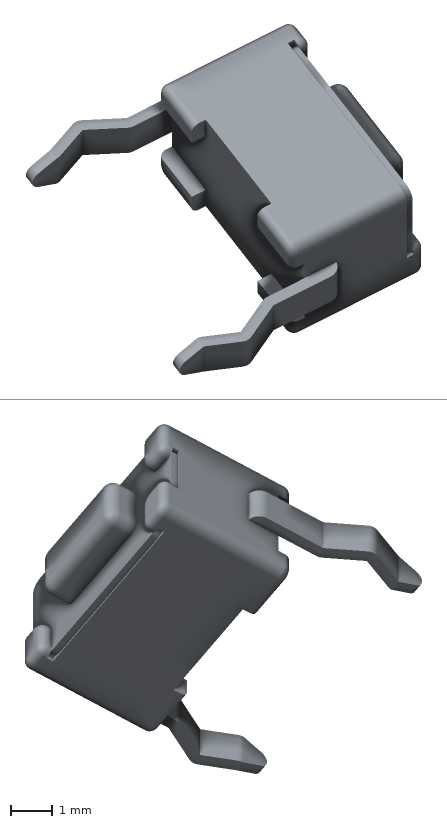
import cadquery as cq
import math


BODY_WIDTH = 6.11
BODY_HEIGHT = 3.5
POST_TOP = 3.41
FOOT_LENGTH = 0.4
SIDE_RADIUS = 0.3
END_RADIUS = 0.21

FOOT_GAP_X = 3.0
FOOT_GAP_Z = 2.19

PLATE_BOTTOM = 2.92
PLATE_TOP = 3.105
PLATE_INSET = 0.055
WALL_SPAN_X = 0.64
WALL_SPAN_Z = 1.0
PLATE_LONG_SIDE_RADIUS = 0.34
PLATE_SHORT_SIDE_RADIUS = 0.12

LEFT_POST_SPAN_X = 0.915
POST_SPAN_Z = 1.205
RIGHT_POST_SPAN_X = 0.85
POST_CORNER_RADIUS = 0.375
POST_EDGE_RADIUS = 0.22

BUTTON_WIDTH = 3.0
BUTTON_HEIGHT = 1.55
BUTTON_TOP = 3.9
BUTTON_RADIUS = 0.3
BUTTON_TOP_RADIUS = 0.29

LEAD_THICKNESS = 0.3
LEAD_WIDTH = 1.02
LEAD_REACH = 3.91
LEAD_SHOULDER_TOP = 0.89
LEAD_SHOULDER_RADIUS = 0.35
LEAD_BEND_Y = -1.1
LEAD_KNEE_Y = -2.205
LEAD_TIP_START = -3.2
LEAD_TIP_END = -3.895
LEAD_TIP_X = 3.51
LEAD_TIP_RADIUS = 0.3

HALF_WIDTH = BODY_WIDTH / 2
HALF_HEIGHT = BODY_HEIGHT / 2
BODY_X = (-HALF_WIDTH, HALF_WIDTH)
BODY_Z = (-HALF_HEIGHT, HALF_HEIGHT)
PLATE_Y = (PLATE_BOTTOM, PLATE_TOP)


def block(x_range, y_range, z_range):
    """Box between two limits along each axis."""
    sizes = [high - low for low, high in (x_range, y_range, z_range)]
    corner = (x_range[0], y_range[0], z_range[0])
    return cq.Workplane("XY").box(*sizes, centered=False).translate(corner)


def round_y_edge(shape, x, z, y_range, radius):
    """Round the edge that runs along Y through (x, z)."""
    middle = (x, sum(y_range) / 2, z)
    return shape.edges(cq.selectors.NearestToPointSelector(middle)).fillet(radius)


def body():
    shape = block(BODY_X, (-FOOT_LENGTH, PLATE_TOP), BODY_Z)
    shape = shape.edges("|Y").fillet(SIDE_RADIUS)
    shape = shape.faces("<Y").edges().fillet(END_RADIUS)

    front = (-FOOT_LENGTH, 0)
    shape = shape.cut(block((-FOOT_GAP_X / 2, FOOT_GAP_X / 2), front, BODY_Z))
    shape = shape.cut(block(BODY_X, front, (-FOOT_GAP_Z / 2, FOOT_GAP_Z / 2)))

    return shape.cut(block(BODY_X, PLATE_Y, BODY_Z).cut(rim_corners()))


def rim_corners():
    """Square-edged blocks on the three body corners that the cover plate is notched around."""
    left = (-HALF_WIDTH, -HALF_WIDTH + WALL_SPAN_X)
    right = (HALF_WIDTH - WALL_SPAN_X, HALF_WIDTH)
    upper = (HALF_HEIGHT - WALL_SPAN_Z, HALF_HEIGHT)
    lower = (-HALF_HEIGHT, -HALF_HEIGHT + WALL_SPAN_Z)
    corners = block(left, PLATE_Y, upper)
    corners = corners.union(block(left, PLATE_Y, lower))
    return corners.union(block(right, PLATE_Y, lower))


def cover_plate():
    """Plate that follows the body outline, rounded wherever its edge turns into a notch."""
    edge_x = HALF_WIDTH - PLATE_INSET
    edge_z = HALF_HEIGHT - PLATE_INSET
    notch_x = HALF_WIDTH - WALL_SPAN_X
    notch_z = HALF_HEIGHT - WALL_SPAN_Z
    shape = block((-edge_x, edge_x), PLATE_Y, (-edge_z, edge_z)).cut(rim_corners())
    corners = [
        (edge_x, edge_z, SIDE_RADIUS),
        (-notch_x, edge_z, PLATE_LONG_SIDE_RADIUS),
        (-notch_x, -edge_z, PLATE_LONG_SIDE_RADIUS),
        (notch_x, -edge_z, PLATE_LONG_SIDE_RADIUS),
        (-edge_x, notch_z, PLATE_SHORT_SIDE_RADIUS),
        (-edge_x, -notch_z, PLATE_SHORT_SIDE_RADIUS),
        (edge_x, -notch_z, PLATE_SHORT_SIDE_RADIUS),
    ]
    for x, z, radius in corners:
        shape = round_y_edge(shape, x, z, PLATE_Y, radius)
    return shape


def post(side_x, side_z, span_x):
    """Post on the body corner at (side_x, side_z), rounded on all upright edges and its top."""
    y_range = (PLATE_TOP, POST_TOP)
    x_outer = side_x * HALF_WIDTH
    z_outer = side_z * HALF_HEIGHT
    x_inner = x_outer - side_x * span_x
    z_inner = z_outer - side_z * POST_SPAN_Z
    shape = block(sorted((x_outer, x_inner)), y_range, sorted((z_outer, z_inner)))
    corners = [
        (x_outer, z_outer, SIDE_RADIUS),
        (x_inner, z_inner, POST_CORNER_RADIUS),
        (x_inner, z_outer, POST_EDGE_RADIUS),
        (x_outer, z_inner, POST_EDGE_RADIUS),
    ]
    for x, z, radius in corners:
        shape = round_y_edge(shape, x, z, y_range, radius)
    return shape.faces(">Y").edges().fillet(END_RADIUS)


def button():
    shape = block(
        (-BUTTON_WIDTH / 2, BUTTON_WIDTH / 2),
        (PLATE_BOTTOM, BUTTON_TOP),
        (-BUTTON_HEIGHT / 2, BUTTON_HEIGHT / 2),
    )
    shape = shape.edges("|Y").fillet(BUTTON_RADIUS)
    return shape.faces(">Y").edges().fillet(BUTTON_TOP_RADIUS)


def polar(center, radius, angle):
    return (center[0] + radius * math.cos(angle), center[1] + radius * math.sin(angle))


def lead_profile():
    """XY outline of the +X lead: a bent strip whose bends turn about sharp inner corners."""
    inner_x = HALF_WIDTH
    outer_x = HALF_WIDTH + LEAD_THICKNESS
    shoulder_x = outer_x - LEAD_SHOULDER_RADIUS
    shoulder_y = LEAD_SHOULDER_TOP - LEAD_SHOULDER_RADIUS
    bend = (outer_x, LEAD_BEND_Y)
    knee = (LEAD_REACH - LEAD_THICKNESS, LEAD_KNEE_Y)
    toe = (LEAD_TIP_X, LEAD_TIP_START)

    def slope_angle(pivot, turn):
        dx = knee[0] - pivot[0]
        dy = knee[1] - pivot[1]
        return math.atan2(dy, dx) + turn * math.acos(-LEAD_THICKNESS / math.hypot(dx, dy))

    upper = slope_angle(bend, 1)
    lower = slope_angle(toe, -1)

    def around(pivot, angle):
        return polar(pivot, LEAD_THICKNESS, angle)

    return (
        cq.Workplane("XY")
        .moveTo(shoulder_x, LEAD_SHOULDER_TOP)
        .threePointArc(
            polar((shoulder_x, shoulder_y), LEAD_SHOULDER_RADIUS, math.pi / 4),
            (outer_x, shoulder_y),
        )
        .lineTo(*bend)
        .lineTo(*around(knee, upper))
        .threePointArc(around(knee, (upper + lower) / 2), around(knee, lower))
        .lineTo(*toe)
        .lineTo(LEAD_TIP_X, LEAD_TIP_END)
        .lineTo(LEAD_TIP_X - LEAD_THICKNESS, LEAD_TIP_END)
        .lineTo(LEAD_TIP_X - LEAD_THICKNESS, LEAD_TIP_START)
        .threePointArc(around(toe, math.pi + lower / 2), around(toe, math.pi + lower))
        .lineTo(*knee)
        .lineTo(*around(bend, math.pi + upper))
        .threePointArc(around(bend, math.pi + upper / 2), (inner_x, LEAD_BEND_Y))
        .lineTo(inner_x, shoulder_y)
        .lineTo(shoulder_x, shoulder_y)
        .close()
    )


def lead_face():
    """YZ outline of a lead: straight sides that taper at the tip into a tangent round end."""
    half = LEAD_WIDTH / 2
    center_y = LEAD_TIP_END + LEAD_TIP_RADIUS
    run = LEAD_TIP_START - center_y
    taper = math.atan2(half, run) + math.acos(LEAD_TIP_RADIUS / math.hypot(run, half))
    tangent_y, tangent_z = polar((center_y, 0), LEAD_TIP_RADIUS, taper)
    return (
        cq.Workplane("YZ")
        .moveTo(LEAD_SHOULDER_TOP, half)
        .lineTo(LEAD_TIP_START, half)
        .lineTo(tangent_y, tangent_z)
        .threePointArc((LEAD_TIP_END, 0), (tangent_y, -tangent_z))
        .lineTo(LEAD_TIP_START, -half)
        .lineTo(LEAD_SHOULDER_TOP, -half)
        .close()
    )


def lead():
    strip = lead_profile().extrude(LEAD_WIDTH / 2, both=True)
    return strip.intersect(lead_face().extrude(LEAD_REACH))


result = body().union(cover_plate()).union(button())
result = result.union(post(-1, 1, LEFT_POST_SPAN_X))
result = result.union(post(-1, -1, LEFT_POST_SPAN_X))
result = result.union(post(1, -1, RIGHT_POST_SPAN_X))
right_lead = lead()
result = result.union(right_lead).union(right_lead.mirror("YZ"))